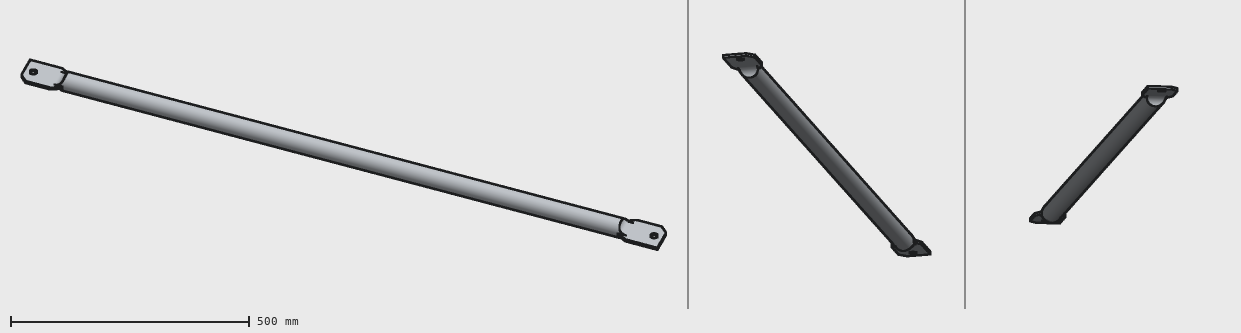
import cadquery as cq

total_length = 1435.0
rod_diameter = 42.0
rod_length = 1248.0

plate_width = 65.0
plate_thickness = 6.0
taper_length = 22.0
corner_cut = 15.0
hole_diameter = 15.0
hole_edge_distance = 20.0

rod_radius = rod_diameter / 2
half_length = total_length / 2
half_rod = rod_length / 2
half_width = plate_width / 2
half_thickness = plate_thickness / 2
flare_radius = rod_radius - half_thickness
flare_end = half_rod + flare_radius
taper_end = half_rod + taper_length
hole_position = half_length - hole_edge_distance


def make_rod():
    """Round rod along X, scooped above and below at each end by concave quarter rounds."""
    rod = (
        cq.Workplane("YZ", origin=(-flare_end, 0, 0))
        .circle(rod_radius)
        .extrude(2 * flare_end)
    )
    for x_side in (-1, 1):
        for z_side in (-1, 1):
            scoop = (
                cq.Workplane("XZ", origin=(x_side * flare_end, 0, z_side * rod_radius))
                .circle(flare_radius)
                .extrude(rod_radius, both=True)
            )
            rod = rod.cut(scoop)
    return rod


def make_right_plate():
    """Plate at the +X end: narrows to the rod, with a cut outer +Y corner and one hole."""
    outline = [
        (half_rod, -rod_radius),
        (taper_end, -half_width),
        (half_length, -half_width),
        (half_length, half_width - corner_cut),
        (half_length - corner_cut, half_width),
        (taper_end, half_width),
        (half_rod, rod_radius),
    ]
    plate = (
        cq.Workplane("XY")
        .polyline(outline)
        .close()
        .extrude(half_thickness, both=True)
    )
    hole = (
        cq.Workplane("XY")
        .center(hole_position, 0)
        .circle(hole_diameter / 2)
        .extrude(plate_thickness, both=True)
    )
    return plate.cut(hole)


right_plate = make_right_plate()
left_plate = right_plate.rotate((0, 0, 0), (0, 0, 1), 180)

result = make_rod().union(right_plate).union(left_plate)